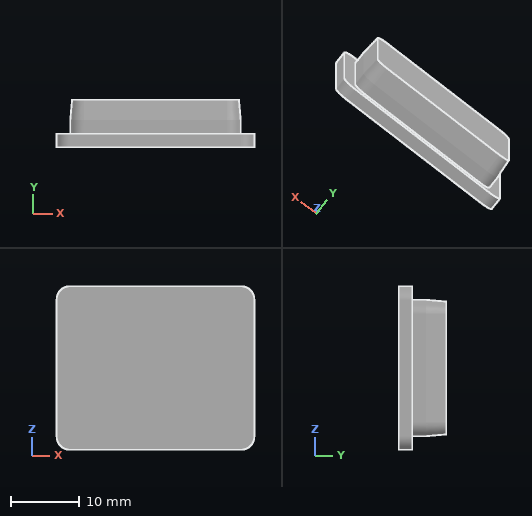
import cadquery as cq

flange_width = 29.0
flange_height = 24.0
flange_thickness = 2.0
ledge = 2.0
corner_radius = 2.0
straight_depth = 2.0
taper_depth = 3.0
taper_angle = 5.0

plug_width = flange_width - 2 * ledge
plug_height = flange_height - 2 * ledge


def rounded_plate(width, height, depth, start_y, taper=0.0):
    """Rounded rectangle in XZ, extruded toward +Y from start_y."""
    outline = cq.Sketch().rect(width, height).vertices().fillet(corner_radius)
    plane = cq.Plane(origin=(0, start_y, 0), xDir=(1, 0, 0), normal=(0, 1, 0))
    return cq.Workplane(plane).placeSketch(outline).extrude(depth, taper=taper)


flange = rounded_plate(flange_width, flange_height, flange_thickness, 0)

taper_start = flange_thickness + straight_depth
plug_base = rounded_plate(plug_width, plug_height, straight_depth, flange_thickness)
plug_tip = rounded_plate(plug_width, plug_height, taper_depth, taper_start, taper_angle)

result = flange.union(plug_base).union(plug_tip)